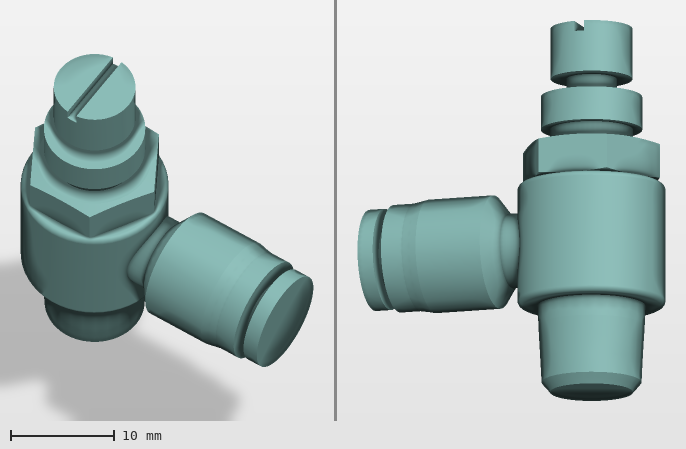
import cadquery as cq
import math

body_diameter = 14.3
body_bottom = 8.5
body_top = 20.43
body_edge_radius = 0.5

thread_top_diameter = 10.4
thread_line_diameter = 10.25
thread_line_height = 6.55
thread_end_diameter = 9.65
thread_tip_diameter = 8.0
thread_tip_height = 0.97

hex_across_flats = 12.0
hex_top = 24.38
hex_face_diameter = 11.0
hex_corner_drop = 0.32

lower_neck_diameter = 8.0
collar_diameter = 9.8
collar_bottom = 25.92
collar_top = 29.15
upper_neck_diameter = 4.9
head_diameter = 7.9
head_bottom = 30.9
head_top = 35.9
slot_width = 1.0
slot_depth = 1.0

branch_height = (body_bottom + body_top) / 2
branch_end = 22.15
branch_neck_diameter = 7.2
cone_start = 8.15
cone_end = 9.6
sleeve_diameter = 11.0
sleeve_end = 16.1
rim_diameter = 10.4
rim_start = 17.6
rim_end = 19.67
release_neck_diameter = 6.0
release_flange_diameter = 9.8
release_flange_start = 20.6


def cylinder(diameter, bottom, top):
    """Cylinder on the Z axis between two heights."""
    return cq.Workplane("XY").workplane(offset=bottom).circle(diameter / 2).extrude(top - bottom)


def make_body():
    return cylinder(body_diameter, body_bottom, body_top).edges().fillet(body_edge_radius)


def make_thread():
    profile = [
        (0, 0),
        (thread_tip_diameter / 2, 0),
        (thread_end_diameter / 2, thread_tip_height),
        (thread_line_diameter / 2, thread_line_height),
        (thread_top_diameter / 2, body_bottom),
        (0, body_bottom),
    ]
    return cq.Workplane("XZ").polyline(profile).close().revolve(360, (0, 0), (0, 1))


def make_hex():
    """Hexagon with corners on the X axis, its corners turned down at both ends."""
    corner_radius = hex_across_flats / 2 / math.cos(math.pi / 6)
    face_radius = hex_face_diameter / 2
    prism = (
        cq.Workplane("XY")
        .workplane(offset=body_top)
        .polygon(6, 2 * corner_radius)
        .extrude(hex_top - body_top)
    )
    envelope_profile = [
        (0, body_top),
        (face_radius, body_top),
        (corner_radius, body_top + hex_corner_drop),
        (corner_radius, hex_top - hex_corner_drop),
        (face_radius, hex_top),
        (0, hex_top),
    ]
    envelope = cq.Workplane("XZ").polyline(envelope_profile).close().revolve(360, (0, 0), (0, 1))
    return prism.intersect(envelope)


def make_screw():
    head = cylinder(head_diameter, head_bottom, head_top)
    slot = cq.Workplane("XY").box(slot_width, head_diameter, slot_depth, centered=(True, True, False))
    head = head.cut(slot.translate((0, 0, head_top - slot_depth)))
    return (
        cylinder(lower_neck_diameter, hex_top, collar_bottom)
        .union(cylinder(collar_diameter, collar_bottom, collar_top))
        .union(cylinder(upper_neck_diameter, collar_top, head_bottom))
        .union(head)
    )


def make_branch():
    profile = [
        (0, 0),
        (0, branch_neck_diameter / 2),
        (cone_start, branch_neck_diameter / 2),
        (cone_end, sleeve_diameter / 2),
        (sleeve_end, sleeve_diameter / 2),
        (rim_start, rim_diameter / 2),
        (rim_end, rim_diameter / 2),
        (rim_end, release_neck_diameter / 2),
        (release_flange_start, release_neck_diameter / 2),
        (release_flange_start, release_flange_diameter / 2),
        (branch_end, release_flange_diameter / 2),
        (branch_end, 0),
    ]
    branch = cq.Workplane("XZ").polyline(profile).close().revolve(360, (0, 0), (1, 0))
    return branch.translate((0, 0, branch_height))


result = make_body().union(make_thread()).union(make_hex()).union(make_screw()).union(make_branch())